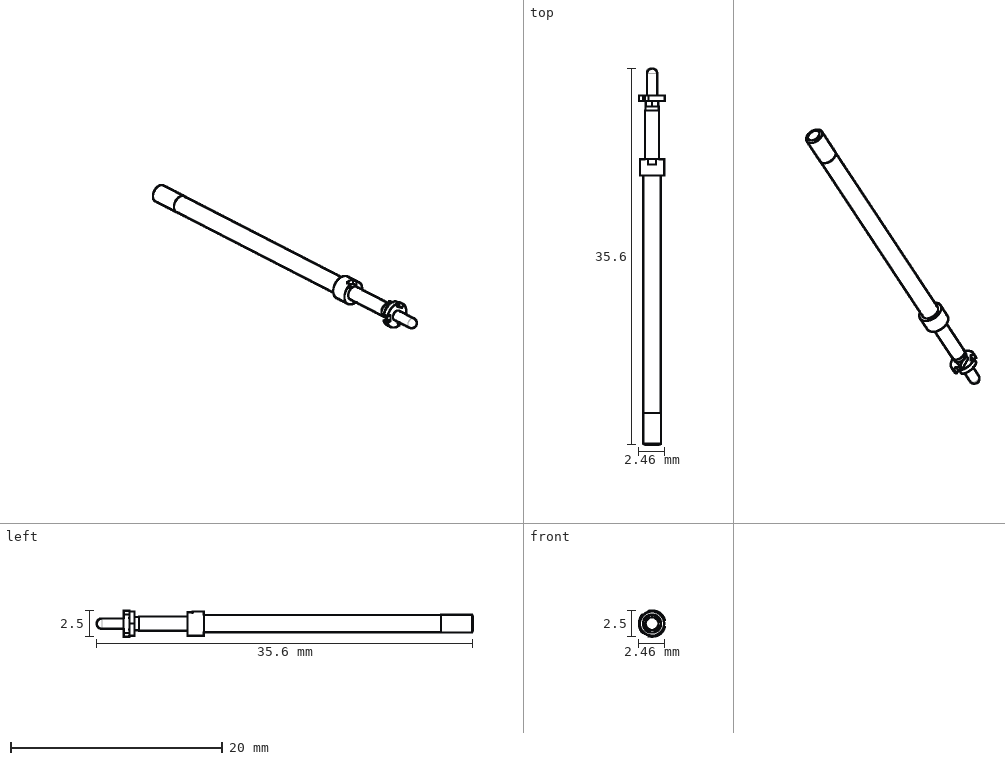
import cadquery as cq

total_length = 35.6
tip_y = total_length / 2

pin_radius = 0.5
flange_radius = 1.25
neck_radius = 0.65
barrel_radius = 0.68
collar_radius = 1.157
tube_radius = 0.835
foot_radius = 0.85

tip_flange_start = 2.55
tip_flange_end = 3.1
wedge_end = 3.6
neck_end = 4.0
barrel_end = 8.58
collar_end = 10.15
tube_end = 32.57

foot_taper_length = 0.1
foot_taper_depth = 0.25

slot_count = 3
full_turn = 360.0
slot_width = 0.65
slot_floor_radius = 0.82

wedge_half_height = 1.157
wedge_half_width = 0.6

notch_width = 0.8
notch_length = 0.5


def cylinder(radius, start, end):
    """Round section between two distances from the tip."""
    plane = cq.Workplane("XZ", origin=(0, tip_y - start, 0))
    return plane.circle(radius).extrude(end - start)


def make_flange():
    flange = cylinder(flange_radius, tip_flange_start, tip_flange_end)
    slot_depth = flange_radius - slot_floor_radius
    slot = cq.Workplane("XY").box(
        slot_depth, tip_flange_end - tip_flange_start, slot_width, centered=(False, True, True)
    )
    slot_y = tip_y - (tip_flange_start + tip_flange_end) / 2
    slot = slot.translate((slot_floor_radius, slot_y, 0))
    for index in range(slot_count):
        flange = flange.cut(slot.rotate((0, 0, 0), (0, 1, 0), index * full_turn / slot_count))
    return flange


def make_wedge():
    outline = [
        (wedge_half_width, 0),
        (0, wedge_half_height),
        (-wedge_half_width, 0),
        (0, -wedge_half_height),
    ]
    plane = cq.Workplane("XZ", origin=(0, tip_y - tip_flange_end, 0))
    return plane.polyline(outline).close().extrude(wedge_end - tip_flange_end)


def make_collar():
    collar = cylinder(collar_radius, barrel_end, collar_end)
    notch = cq.Workplane("XY").box(notch_width, notch_length, collar_radius, centered=(True, False, False))
    return collar.cut(notch.translate((0, tip_y - barrel_end - notch_length, barrel_radius)))


def make_foot():
    foot = cylinder(foot_radius, tube_end, total_length)
    return foot.faces("<Y").chamfer(foot_taper_length, foot_taper_depth)


tip = cq.Workplane("XY").sphere(pin_radius).translate((0, tip_y - pin_radius, 0))

result = (
    tip.union(cylinder(pin_radius, pin_radius, tip_flange_start))
    .union(make_flange())
    .union(make_wedge())
    .union(cylinder(neck_radius, wedge_end, neck_end))
    .union(cylinder(barrel_radius, neck_end, barrel_end))
    .union(make_collar())
    .union(cylinder(tube_radius, collar_end, tube_end))
    .union(make_foot())
)